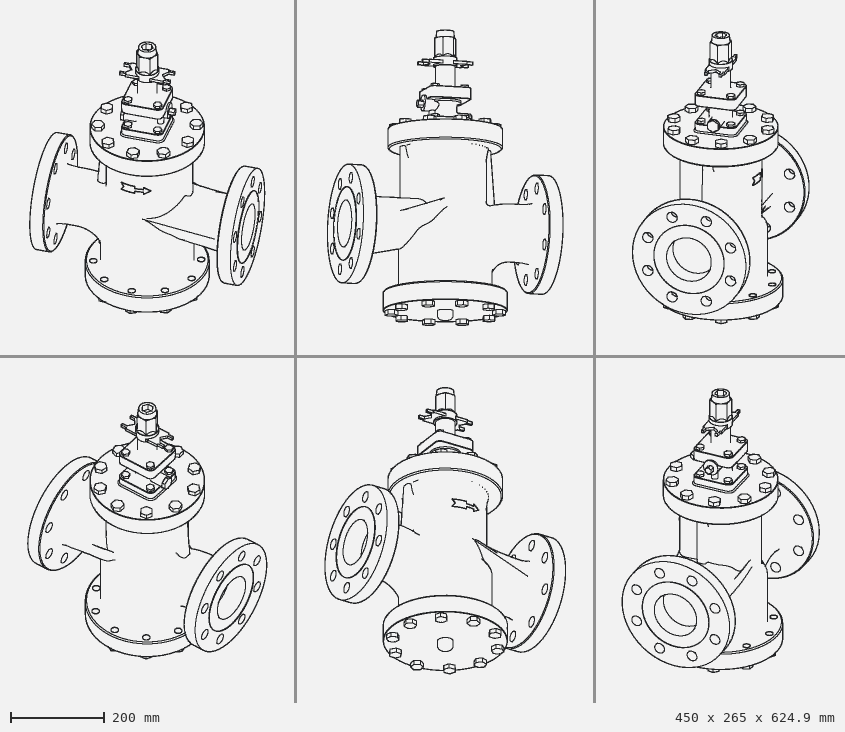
import cadquery as cq
import math


face_to_face = 450.0
upper_radius = 87.5
neck_radius = 92.0
lower_radius = 100.0
neck_z = 148.5
shoulder_low_z = -19.0
shoulder_high_z = 8.0
foot_fillet = 3.0
underhead_fillet = 2.5
elbow_fillet = 10.0

flange_radius = 254.0 / 2
flange_thickness = 31.0
flange_chamfer = 2.0
raised_face_radius = 157.2 / 2
raised_face_height = 1.6
bore_radius = 100.0 / 2
bore_depth = 45.0
flange_hole_count = 8
flange_hole_diameter = 23.0
flange_hole_circle = 100.0
hub_radius = 65.0
hub_fillet = 3.0
pipe_radius = 62.3
hub_inner_x = 168.0

elbow_start_x = -147.0
elbow_bend_radius = 112.0

outlet_inner_x = 15.0
outlet_tip_z = 37.0
outlet_top_z = 61.0
outlet_bottom_z = -29.0
outlet_crown_steps = 8
outlet_half_width = math.sqrt(upper_radius**2 - outlet_inner_x**2)

rib_width = 20.0
rib_outer_top = 100.0
rib_outer_bottom = 110.0
rib_bottom_z = 40.0
rib_edge_fillet = 5.4
rib_root_fillet = 4.0

cover_radius = 245.0 / 2
cover_bottom_z = 174.0
cover_joint_z = 194.5
cover_top_z = 217.0
cover_chamfer = 3.0
bottom_radius = 265.0 / 2
bottom_top_z = -135.0
bottom_joint_z = -155.5
bottom_low_z = -176.5
bottom_chamfer = 3.0

bolt_count = 10
bolt_across_flats = 24.0
bolt_head_height = 9.6
cover_bolt_circle = 105.0
bottom_bolt_circle = 115.0
bottom_hole_diameter = 16.0
bottom_hole_depth = 1.0

drain_radius = 17.0
drain_bottom_z = -196.4
drain_fillet = 10.0

square_size = 92.0
square_corner = 12.0
lower_square_top_z = 236.0
lower_square_joint_z = 224.0
pad_fillet = 3.0
upper_square_low_z = 277.0
upper_square_joint_z = 288.5
upper_square_top_z = 302.0
pilot_bolt_count = 4
pilot_bolt_offset = 33.0
pilot_bolt_across_flats = 16.0
pilot_bolt_height = 5.3
pilot_radius = 50.0 / 2
pilot_flare = 8.5
pilot_flare_top_z = 273.0
pilot_foot_fillet = 3.0

inlet_plug_z = 239.2
inlet_plug_boss_radius = 13.8
inlet_plug_boss_x = -49.0
inlet_plug_end_x = -56.0
inlet_plug_across_flats = 24.0
outlet_plug_z = 271.0
outlet_plug_boss_radius = 34.0 / 2
outlet_plug_boss_x = 50.0
outlet_plug_end_x = 62.0
outlet_plug_across_flats = 14.0
outlet_plug_drop = 2.0
inlet_boss_fillet = 3.5
post_radius = 7.0
post_x = 29.5

housing_radius = 42.0 / 2
housing_foot_fillet = 6.0
collar_radius = 50.0 / 2
collar_low_z = 352.5
collar_top_z = 371.0
nut_across_flats = 41.0
nut_top_z = 414.0
nut_chamfer = 1.5
nut_foot_z = 377.0
nut_foot_radius = 24.0
cap_radius = 20.0
cap_top_radius = 18.5
cap_top_z = 428.5
socket_across_flats = 22.0
socket_depth = 15.0
handle_low_z = 356.0
handle_top_z = 362.5
handle_half_length = 56.0
handle_mid_half_length = 42.0
handle_mid_half_width = 22.0
handle_half_width = 18.7
fork_half_width = 13.5
fork_floor_x = 44.0
fork_point_x = 34.0

arrow_center_z = 112.5
arrow_height = 1.5
arrow_tail_x = -33.0
arrow_notch_x = -27.0
arrow_shaft_x = -1.0
arrow_head_x = 18.0
arrow_tip_x = 33.0
arrow_half_width = 9.0
arrow_shaft_half_width = 3.5

edge_chamfer = 1.0
seam_tolerance = 0.01
across_corners = 2 / math.sqrt(3)


def disc(radius, low_z, high_z):
    return cq.Workplane("XY").workplane(offset=low_z).circle(radius).extrude(high_z - low_z)


def rod_x(radius, start_x, end_x, z):
    plane = cq.Workplane("YZ", origin=(start_x, 0, z))
    return plane.circle(radius).extrude(end_x - start_x)


def hexagon_x(across_flats, start_x, end_x, z):
    plane = cq.Workplane("YZ", origin=(start_x, 0, z)).transformed(rotate=(0, 0, 90))
    return plane.polygon(6, across_flats * across_corners).extrude(end_x - start_x)


def hexagon_z(across_flats, low_z, high_z):
    plane = cq.Workplane("XY").workplane(offset=low_z)
    return plane.polygon(6, across_flats * across_corners).extrude(high_z - low_z)


def ring_of(shape, count, radius, first_angle):
    """Copies of a shape, moved out along +X and spaced evenly about Z."""
    copies = cq.Workplane("XY")
    for index in range(count):
        angle = first_angle + index * 360.0 / count
        copies = copies.add(shape.translate((radius, 0, 0)).rotate((0, 0, 0), (0, 0, 1), angle))
    return copies.combine()


def join(first, others):
    """Union that keeps the seams between stacked pieces."""
    joined = first
    for other in others:
        joined = joined.union(other, clean=False)
    return joined


def blended_union(base, branch, fillet):
    """Union with a fillet along the curve where the two surfaces meet."""
    shells = [base.val().Shells()[0], branch.val().Shells()[0]]

    def on_both(edge):
        spots = [cq.Vertex.makeVertex(*edge.positionAt(part).toTuple()) for part in (0.3, 0.7)]
        return all(spot.distance(shell) < seam_tolerance for spot in spots for shell in shells)

    return base.union(branch).edges().filter(on_both).fillet(fillet)


def make_barrel():
    """Turned body with the shoulder and the widened neck."""
    mid = ((upper_radius + lower_radius) / 2, (shoulder_low_z + shoulder_high_z) / 2)
    profile = (
        cq.Workplane("XZ")
        .moveTo(0, bottom_top_z)
        .lineTo(lower_radius + foot_fillet, bottom_top_z)
        .radiusArc((lower_radius, bottom_top_z + foot_fillet), foot_fillet)
        .lineTo(lower_radius, shoulder_low_z)
        .tangentArcPoint(mid, relative=False)
        .tangentArcPoint((upper_radius, shoulder_high_z), relative=False)
        .lineTo(upper_radius, neck_z)
        .lineTo(neck_radius, cover_bottom_z - underhead_fillet)
        .radiusArc((neck_radius + underhead_fillet, cover_bottom_z), underhead_fillet)
        .lineTo(0, cover_bottom_z)
        .close()
    )
    return profile.revolve(360, (0, 0, 0), (0, 1, 0))


def make_elbow():
    """Inlet pipe turning down into the body."""
    plane = cq.Workplane("YZ", origin=(elbow_start_x, 0, 0))
    bend = plane.circle(pipe_radius).revolve(
        90, (0, -elbow_bend_radius, 0), (1, -elbow_bend_radius, 0)
    )
    return bend.union(rod_x(pipe_radius, -hub_inner_x, elbow_start_x, 0))


def outlet_crown():
    """Points along the half-elliptic top of the wide section, after its -Y end."""
    height = outlet_top_z - outlet_tip_z
    angles = [math.pi * (1 - step / outlet_crown_steps) for step in range(1, outlet_crown_steps + 1)]
    return [(outlet_half_width * math.cos(a), outlet_tip_z + height * math.sin(a)) for a in angles]


def make_outlet():
    """Outlet pipe, a round section spread into a wide egg-shaped one."""
    width = outlet_half_width
    return (
        cq.Workplane("YZ", origin=(hub_inner_x, 0, 0))
        .moveTo(-pipe_radius, 0)
        .threePointArc((0, pipe_radius), (pipe_radius, 0))
        .threePointArc((0, -pipe_radius), (-pipe_radius, 0))
        .close()
        .workplane(offset=outlet_inner_x - hub_inner_x)
        .moveTo(-width, outlet_tip_z)
        .spline(outlet_crown(), tangents=[(0, 1), (0, -1)], includeCurrent=True)
        .threePointArc((0, outlet_bottom_z), (-width, outlet_tip_z))
        .close()
        .loft(ruled=True)
    )


def make_flange():
    """Pipe flange on the +X side with its hub, before drilling."""
    end_x = face_to_face / 2
    face_x = end_x - raised_face_height
    back_x = face_x - flange_thickness
    disc_x = rod_x(flange_radius, back_x, face_x, 0).faces("<X").chamfer(flange_chamfer)
    hub_length = back_x - hub_fillet - hub_inner_x
    hub_middle = (hub_inner_x + hub_length / 2, pipe_radius + (hub_radius - pipe_radius) / 4)
    hub = (
        cq.Workplane("XY")
        .moveTo(hub_inner_x, 0)
        .lineTo(hub_inner_x, pipe_radius)
        .threePointArc(hub_middle, (back_x - hub_fillet, hub_radius))
        .radiusArc((back_x, hub_radius + hub_fillet), -hub_fillet)
        .lineTo(back_x, 0)
        .close()
        .revolve(360, (0, 0, 0), (1, 0, 0))
    )
    return disc_x.union(rod_x(raised_face_radius, face_x, end_x, 0)).union(hub)


def make_flange_cuts():
    """Bolt holes and bore of the +X flange."""
    end_x = face_to_face / 2
    holes = (
        cq.Workplane("YZ", origin=(end_x, 0, 0))
        .transformed(rotate=(0, 0, 180.0 / flange_hole_count))
        .polarArray(flange_hole_circle, 0, 360, flange_hole_count)
        .circle(flange_hole_diameter / 2)
        .extrude(-flange_thickness - raised_face_height)
    )
    return holes.union(rod_x(bore_radius, end_x - bore_depth, end_x, 0))


def make_rib(side, foot_x):
    """Rib under the cover on one side, its outer edge running down to foot_x."""
    outline = [
        (0, cover_bottom_z),
        (side * rib_outer_top, cover_bottom_z),
        (side * foot_x, rib_bottom_z),
        (0, rib_bottom_z),
    ]
    outer_point = (2 * side * foot_x, 0, (cover_bottom_z + rib_bottom_z) / 2)
    rib = cq.Workplane("XZ").polyline(outline).close().extrude(rib_width / 2, both=True)
    rib = rib.faces(cq.NearestToPointSelector(outer_point)).edges("not |Y").fillet(rib_edge_fillet)
    return rib.union(make_rib_root(side), clean=False)


def make_rib_root(side):
    """Concave flare on both flanks of a rib where it meets the body."""
    flank_y = rib_width / 2
    root_y = flank_y + rib_root_fillet
    root_x = math.sqrt(upper_radius**2 - root_y**2)
    flank_x = root_x + rib_root_fillet
    return (
        cq.Workplane("XY", origin=(0, 0, rib_bottom_z))
        .moveTo(0, root_y)
        .lineTo(side * root_x, root_y)
        .radiusArc((side * flank_x, flank_y), -side * rib_root_fillet)
        .lineTo(side * flank_x, -flank_y)
        .radiusArc((side * root_x, -root_y), -side * rib_root_fillet)
        .lineTo(0, -root_y)
        .close()
        .extrude(cover_bottom_z - rib_bottom_z)
    )


def make_arrow():
    """Flow arrow standing proud of the upper body on the -Y side."""
    half = [
        (arrow_notch_x, 0),
        (arrow_tail_x, arrow_half_width),
        (arrow_shaft_x, arrow_half_width),
        (arrow_shaft_x, arrow_shaft_half_width),
        (arrow_head_x, arrow_shaft_half_width),
        (arrow_head_x, arrow_half_width),
        (arrow_tip_x, 0),
    ]
    mirrored = [(x, -z) for x, z in reversed(half[1:-1])]
    prism = (
        cq.Workplane("XZ", origin=(0, 0, arrow_center_z))
        .polyline(half + mirrored)
        .close()
        .extrude(lower_radius)
    )
    low_z = arrow_center_z - arrow_half_width
    high_z = arrow_center_z + arrow_half_width
    return prism.intersect(disc(upper_radius + arrow_height, low_z, high_z))


def make_cover():
    lower = disc(cover_radius, cover_bottom_z, cover_joint_z).faces("<Z").chamfer(cover_chamfer)
    upper = disc(cover_radius, cover_joint_z, cover_top_z).faces(">Z").chamfer(edge_chamfer)
    head = hexagon_z(bolt_across_flats, cover_top_z, cover_top_z + bolt_head_height)
    bolts = ring_of(head, bolt_count, cover_bolt_circle, 90)
    return join(lower, [upper, bolts])


def make_bottom():
    """Bottom flange with its bolts, shallow bolt recesses and drain cap."""
    upper = disc(bottom_radius, bottom_joint_z, bottom_top_z).faces(">Z").chamfer(bottom_chamfer)
    hole = disc(bottom_hole_diameter / 2, bottom_top_z - bottom_hole_depth, bottom_top_z)
    upper = upper.cut(ring_of(hole, bolt_count, bottom_bolt_circle, 90))
    lower = disc(bottom_radius, bottom_low_z, bottom_joint_z).faces("<Z").chamfer(edge_chamfer)
    head = hexagon_z(bolt_across_flats, bottom_low_z - bolt_head_height, bottom_low_z)
    bolts = ring_of(head, bolt_count, bottom_bolt_circle, 90)
    drain = disc(drain_radius, drain_bottom_z, bottom_low_z).faces("<Z").edges().fillet(drain_fillet)
    return join(upper, [lower, bolts, drain])


def square_plate(low_z, high_z):
    plane = cq.Workplane("XY").workplane(offset=low_z)
    plate = plane.rect(square_size, square_size).extrude(high_z - low_z)
    return plate.edges("|Z").fillet(square_corner)


def pilot_bolts(seat_z):
    head = hexagon_z(pilot_bolt_across_flats, seat_z, seat_z + pilot_bolt_height)
    return ring_of(head, pilot_bolt_count, pilot_bolt_offset * math.sqrt(2), 45)


def flared_foot(radius, fillet, seat_z, direction):
    """Concave ring joining a column of the given radius to a flat seat."""
    return (
        cq.Workplane("XZ")
        .moveTo(0, seat_z)
        .lineTo(radius + fillet, seat_z)
        .radiusArc((radius, seat_z + direction * fillet), direction * fillet)
        .lineTo(0, seat_z + direction * fillet)
        .close()
        .revolve(360, (0, 0, 0), (0, 1, 0))
    )


def make_pilot_body():
    """Pilot valve: two square flanges, the column between them and the side plugs."""
    pad = square_plate(cover_top_z, lower_square_joint_z)
    pad_rim = (
        cq.Workplane("XY", origin=(0, 0, cover_top_z))
        .rect(square_size + 2 * pad_fillet, square_size + 2 * pad_fillet)
        .extrude(pad_fillet)
        .edges("|Z")
        .fillet(square_corner + pad_fillet)
        .faces(">Z")
        .chamfer(pad_fillet - seam_tolerance)
    )
    lower = square_plate(lower_square_joint_z, lower_square_top_z).faces(">Z").chamfer(edge_chamfer)
    middle = square_plate(upper_square_low_z, upper_square_joint_z).faces("<Z").chamfer(edge_chamfer)
    upper = square_plate(upper_square_joint_z, upper_square_top_z).faces(">Z").chamfer(edge_chamfer)
    column = disc(pilot_radius, lower_square_top_z, upper_square_low_z)
    inlet_boss = rod_x(inlet_plug_boss_radius, inlet_plug_boss_x, 0, inlet_plug_z)
    inlet_plug = hexagon_x(inlet_plug_across_flats, inlet_plug_end_x, inlet_plug_boss_x, inlet_plug_z)
    outlet_boss = rod_x(outlet_plug_boss_radius, 0, outlet_plug_boss_x, outlet_plug_z)
    outlet_hex_z = outlet_plug_z - outlet_plug_drop
    outlet_plug = hexagon_x(outlet_plug_across_flats, outlet_plug_boss_x, outlet_plug_end_x, outlet_hex_z)
    post = disc(post_radius, lower_square_top_z, outlet_plug_z).translate((post_x, 0, 0))
    column = blended_union(column, inlet_boss, inlet_boss_fillet)
    parts = [
        pad_rim,
        lower,
        column,
        flared_foot(pilot_radius, pilot_foot_fillet, lower_square_top_z, 1),
        flared_foot(pilot_radius, pilot_flare, pilot_flare_top_z, -1),
        disc(pilot_radius + pilot_flare, pilot_flare_top_z, upper_square_low_z),
        middle,
        upper,
        pilot_bolts(lower_square_top_z),
        pilot_bolts(upper_square_top_z),
        inlet_plug,
        outlet_boss,
        outlet_plug,
        post,
    ]
    return join(pad, parts)


def make_handle():
    """Flat bar across the collar with a pointed fork mouth at each end."""
    bar_height = handle_top_z - handle_low_z
    plane = cq.Workplane("XY", origin=(0, 0, handle_low_z))
    bar = plane.rect(2 * handle_half_length, 2 * handle_half_width).extrude(bar_height)
    bar = bar.union(plane.rect(2 * handle_mid_half_length, 2 * handle_mid_half_width).extrude(bar_height))
    for side in (1, -1):
        mouth = [
            (side * handle_half_length, fork_half_width),
            (side * fork_floor_x, fork_half_width),
            (side * fork_point_x, 0),
            (side * fork_floor_x, -fork_half_width),
            (side * handle_half_length, -fork_half_width),
        ]
        bar = bar.cut(plane.polyline(mouth).close().extrude(bar_height))
    return bar


def make_adjuster():
    """Spring housing, collar with handle, and adjusting nut with a hexagon socket."""
    housing = disc(housing_radius, upper_square_top_z, collar_low_z)
    foot = flared_foot(housing_radius, housing_foot_fillet, upper_square_top_z, 1)
    collar = disc(collar_radius, collar_low_z, collar_top_z)
    trim = disc(nut_across_flats * across_corners / 2, collar_top_z, nut_top_z).edges().chamfer(nut_chamfer)
    nut = hexagon_z(nut_across_flats, collar_top_z, nut_top_z).intersect(trim)
    nut_foot_circle = cq.Workplane("XY", origin=(0, 0, collar_top_z)).circle(nut_foot_radius)
    nut_foot = nut_foot_circle.workplane(offset=nut_foot_z - collar_top_z).circle(nut_across_flats / 2).loft()
    cap_bottom = cq.Workplane("XY", origin=(0, 0, nut_top_z)).circle(cap_radius)
    cap = cap_bottom.workplane(offset=cap_top_z - nut_top_z).circle(cap_top_radius).loft()
    socket = hexagon_z(socket_across_flats, cap_top_z - socket_depth, cap_top_z)
    return join(housing, [foot, collar, nut, nut_foot, cap, make_handle()]).cut(socket)


casting = blended_union(make_barrel(), make_elbow(), elbow_fillet).union(make_outlet(), clean=False)
flange = make_flange()
flange_cuts = make_flange_cuts()
body = join(
    casting,
    [
        make_rib(1, rib_outer_top),
        make_rib(-1, rib_outer_bottom),
        make_arrow(),
        flange,
        flange.mirror("YZ"),
        make_cover(),
        make_bottom(),
        make_pilot_body(),
        make_adjuster(),
    ],
)
result = body.cut(flange_cuts, clean=False).cut(flange_cuts.mirror("YZ"), clean=False)